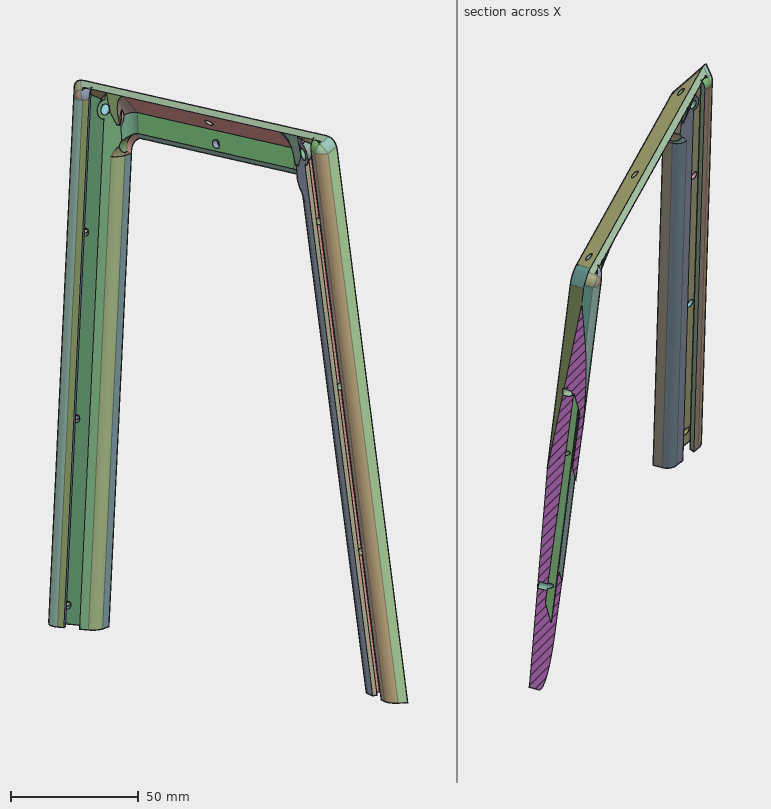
import cadquery as cq
import math

WIDTH = 181.49
DEPTH = 27.3
HEIGHT = 229.07
LEG_LEAN_X = 0.108
LEG_LEAN_Y = 0.0624

SLANT_ANGLE = 40.0
LIP_ANGLE = 20.0
RIDGE_Y = 5.0
RIM_TO_FRONT = 7.4
LEG_INNER_X = 67.3
EDGE_RADIUS = 5.0
SHOULDER_RADIUS = 9.5

SLOT_START = 6.2
SLOT_WIDTH = 6.5
LIP_THICKNESS = 2.0
CAVITY_OVERHANG = 3.5
CAVITY_DEPTH = 5.2

FLANGE_ANGLE = 45.0
BAR_THICKNESS = 3.0
BAR_BOTTOM_Z = 92.3
BAR_END_X = 52.0
RIM_END_X = 56.0

CORNER_RADIUS = 7.0
BLEND_RADIUS = 5.0
BLEND_END_X = 39.4
BRACE_ANGLE = 15.0
BRACE_LENGTH = 14.0

HOLE_DIAMETER = 3.5
FLANGE_HOLE_DEPTH = 14.0
BOSS_DIAMETER = 6.4
CORNER_HOLE_X = 50.0
FLANGE_HOLE_Z = 110.0
WALL_HOLE_Z = 98.3
BACK_HOLE_HEIGHTS = (57.0, 124.0, 191.0)
BACK_HOLE_FOOT_X = 73.5
SLANT_HOLE_HEIGHTS = (8.0, 86.7, 165.4)
SLANT_HOLE_FOOT_Y = 9.2
LEG_HOLE_DEPTH = 7.0

BOTTOM_Z = -HEIGHT / 2
TOP_Z = HEIGHT / 2
BACK_Y = DEPTH / 2
EDGE_TOLERANCE = 0.05
FAR = 400.0


def polar(angle):
    turn = math.radians(angle)
    return math.cos(turn), math.sin(turn)


def along(point, direction, distance):
    return point[0] + direction[0] * distance, point[1] + direction[1] * distance


def leg_shift(height):
    """Sideways travel of the leg section at a height above the foot."""
    return -LEG_LEAN_X * height, -LEG_LEAN_Y * height


def back_y(z):
    return BACK_Y - LEG_LEAN_Y * (z - BOTTOM_Z)


RIDGE = (WIDTH / 2, RIDGE_Y)
SLANT_DIRECTION = polar(180 - SLANT_ANGLE)
SLANT_INWARD = polar(270 - SLANT_ANGLE)
LIP_DIRECTION = polar(180 - LIP_ANGLE)
LIP_INWARD = polar(90 - LIP_ANGLE)
FRONT_CORNER = along(RIDGE, SLANT_INWARD, RIM_TO_FRONT)
BACK_CORNER = along(RIDGE, SLANT_DIRECTION, (BACK_Y - RIDGE_Y) / SLANT_DIRECTION[1])
INNER_FRONT = along(FRONT_CORNER, LIP_DIRECTION, (LEG_INNER_X - FRONT_CORNER[0]) / LIP_DIRECTION[0])

ROUND_SETBACK = EDGE_RADIUS * math.tan(math.radians(90 - LIP_ANGLE) / 2)
INNER_ROUND_Y = INNER_FRONT[1] + ROUND_SETBACK
INNER_ROUND_CENTER = (LEG_INNER_X + EDGE_RADIUS, INNER_ROUND_Y)
INNER_ROUND_MIDDLE = along(INNER_ROUND_CENTER, polar(180 + (90 - LIP_ANGLE) / 2), EDGE_RADIUS)
INNER_ROUND_END = along(INNER_ROUND_CENTER, LIP_INWARD, -EDGE_RADIUS)

FLANGE_DOWN = polar(-FLANGE_ANGLE)
FLANGE_INWARD = polar(180 + FLANGE_ANGLE)
BAR_RIDGE_Y = RIDGE_Y - LEG_LEAN_Y * HEIGHT
BAR_RIDGE = (BAR_RIDGE_Y, TOP_Z)
FLANGE_NORMAL = (0, *FLANGE_INWARD)
FLANGE_LENGTH = (back_y(TOP_Z) - BAR_RIDGE_Y) / (FLANGE_DOWN[0] + LEG_LEAN_Y * FLANGE_DOWN[1])
BAR_BACK = along(BAR_RIDGE, FLANGE_DOWN, FLANGE_LENGTH)
BAR_RIM = along(BAR_RIDGE, FLANGE_INWARD, BAR_THICKNESS)
WALL_FRONT_GAP = BAR_THICKNESS * math.hypot(1, LEG_LEAN_Y)
INNER_LENGTH = (back_y(BAR_RIM[1]) - WALL_FRONT_GAP - BAR_RIM[0]) / (
    FLANGE_DOWN[0] + LEG_LEAN_Y * FLANGE_DOWN[1]
)
BAR_INSIDE = along(BAR_RIM, FLANGE_DOWN, INNER_LENGTH)
WALL_FRONT_Z = BAR_BOTTOM_Z + BAR_THICKNESS

CORNER_CENTER_Z = BAR_BOTTOM_Z - CORNER_RADIUS
CORNER_CENTER_X = LEG_INNER_X - LEG_LEAN_X * (CORNER_CENTER_Z - BOTTOM_Z) - CORNER_RADIUS
BRACE_END_X = CORNER_HOLE_X - HOLE_DIAMETER / 2


def wall_front_y(z):
    return back_y(z) - WALL_FRONT_GAP


def leaning_sweep(outline, rise):
    """Sweeps a level outline along the lean of the right leg."""
    face = cq.Face.makeFromWires(outline)
    return cq.Workplane(cq.Solid.extrudeLinear(face, cq.Vector(*leg_shift(rise), rise)))


def leaning_prism(points):
    """The leaning sweep of a straight-sided section at the foot, past the top of the leg."""
    outline = cq.Wire.makePolygon([cq.Vector(x, y, BOTTOM_Z) for x, y in points], close=True)
    return leaning_sweep(outline, HEIGHT + DEPTH)


def side_prism(points, start_x, end_x):
    """An outline in (y, z) extruded along X."""
    return cq.Workplane("YZ", origin=(start_x, 0, 0)).polyline(points).close().extrude(end_x - start_x)


def cylinder(start, direction, length, diameter):
    return cq.Workplane(
        cq.Solid.makeCylinder(diameter / 2, length, cq.Vector(*start), cq.Vector(*direction))
    )


def crossbar():
    outline = [
        BAR_RIDGE,
        BAR_BACK,
        (back_y(BAR_BOTTOM_Z), BAR_BOTTOM_Z),
        (wall_front_y(WALL_FRONT_Z), WALL_FRONT_Z),
        BAR_INSIDE,
        BAR_RIM,
    ]
    return side_prism(outline, -BAR_END_X, BAR_END_X)


def flange_rim():
    """Front strip of the flange, longer than the rest so that it closes the tops of the slots."""
    outline = [
        BAR_RIDGE,
        along(BAR_RIDGE, FLANGE_DOWN, BAR_THICKNESS),
        along(BAR_RIM, FLANGE_DOWN, BAR_THICKNESS),
        BAR_RIM,
    ]
    return side_prism(outline, -RIM_END_X, RIM_END_X)


def below_flange():
    """Everything under the flange plane and behind its rim plane."""
    outline = [BAR_RIDGE, along(BAR_RIDGE, FLANGE_DOWN, FAR), along(BAR_RIDGE, FLANGE_INWARD, FAR)]
    return side_prism(outline, -FAR, FAR)


def below_flange_inside():
    """Everything under the inner face of the flange."""
    outline = [
        along(BAR_RIM, FLANGE_DOWN, -FAR),
        along(BAR_RIM, FLANGE_DOWN, FAR),
        along(BAR_RIM, FLANGE_INWARD, FAR),
    ]
    return side_prism(outline, -FAR, FAR)


def leg_point(point, z):
    """Place at height z of a point of the leg section at the foot."""
    shift_x, shift_y = leg_shift(z - BOTTOM_Z)
    return cq.Vector(point[0] + shift_x, point[1] + shift_y, z)


def round_edges(body, points, radius):
    """Fillets the edges that pass through the given points."""
    solid = body.val()
    marks = [cq.Vertex.makeVertex(*point.toTuple()) for point in points]
    chosen = [
        edge for edge in solid.Edges() if any(edge.distance(mark) < EDGE_TOLERANCE for mark in marks)
    ]
    return cq.Workplane(solid.fillet(radius, chosen))


def on_flange(point):
    """Where the lean line through a point of the foot section meets the flange plane."""
    drop = math.tan(math.radians(FLANGE_ANGLE))
    start = leg_point(point, BOTTOM_Z)
    reach = TOP_Z - drop * (start.y - BAR_RIDGE_Y) - BOTTOM_Z
    return leg_point(point, BOTTOM_Z + reach / (1 - drop * LEG_LEAN_Y))


def on_rim(point):
    """Where the lean line through a point of the foot section meets the rim plane."""
    rise = 1 / math.tan(math.radians(FLANGE_ANGLE))
    start = leg_point(point, BOTTOM_Z)
    reach = TOP_Z + rise * (start.y - BAR_RIDGE_Y) - BOTTOM_Z
    return leg_point(point, BOTTOM_Z + reach / (1 + rise * LEG_LEAN_Y))


def midpoint(first, second):
    return (first + second) * 0.5


def leg_body():
    leg = leaning_prism([RIDGE, BACK_CORNER, (LEG_INNER_X, BACK_Y), INNER_FRONT, FRONT_CORNER])
    leg = leg.intersect(below_flange())
    top_ridge = leg_point(RIDGE, TOP_Z)
    top_front = on_rim(FRONT_CORNER)
    leg = round_edges(leg, [midpoint(top_ridge, on_flange(BACK_CORNER))], SHOULDER_RADIUS)
    front_edges = [
        midpoint(top_ridge, top_front),
        leg_point(FRONT_CORNER, 0),
        midpoint(top_front, on_rim(INNER_FRONT)),
    ]
    return round_edges(leg, front_edges, EDGE_RADIUS)


def inner_edge_waste():
    """What the round along the inner front edge takes off, up to the corner."""
    outline = (
        cq.Workplane("XY", origin=(0, 0, BOTTOM_Z))
        .moveTo(LEG_INNER_X, INNER_ROUND_Y)
        .threePointArc(INNER_ROUND_MIDDLE, INNER_ROUND_END)
        .lineTo(*along(INNER_ROUND_END, LIP_INWARD, -EDGE_RADIUS))
        .lineTo(LEG_INNER_X - EDGE_RADIUS, INNER_ROUND_Y)
        .close()
        .wires()
        .val()
    )
    return leaning_sweep(outline, CORNER_CENTER_Z - BOTTOM_Z)


def leg_slot():
    """T-slot along the leg, ending under the flange."""

    def place(distance, depth):
        return along(along(FRONT_CORNER, LIP_DIRECTION, distance), LIP_INWARD, depth)

    slot_end = SLOT_START + SLOT_WIDTH
    cavity_start = SLOT_START - CAVITY_OVERHANG
    cavity_end = slot_end + CAVITY_OVERHANG
    slot = leaning_prism(
        [
            place(SLOT_START, -DEPTH),
            place(SLOT_START, LIP_THICKNESS),
            place(cavity_start, LIP_THICKNESS),
            place(cavity_start, CAVITY_DEPTH),
            place(cavity_end, CAVITY_DEPTH),
            place(cavity_end, LIP_THICKNESS),
            place(slot_end, LIP_THICKNESS),
            place(slot_end, -DEPTH),
        ]
    )
    return slot.intersect(below_flange_inside())


def behind_lips():
    """Everything behind the slotted front of the right leg."""
    return leaning_prism(
        [
            along(FRONT_CORNER, LIP_DIRECTION, -FAR),
            along(FRONT_CORNER, LIP_DIRECTION, FAR),
            along(FRONT_CORNER, LIP_INWARD, FAR),
        ]
    )


def bar_hollow():
    """Space under the flange and in front of the wall, with rounded ends."""
    outline = [
        BAR_INSIDE,
        (wall_front_y(0), 0),
        (wall_front_y(0) - HEIGHT, 0),
        along(BAR_INSIDE, FLANGE_DOWN, -HEIGHT),
    ]
    end_x = BLEND_END_X + BLEND_RADIUS
    wall_mark = cq.Vector(end_x, wall_front_y(BAR_BOTTOM_Z), BAR_BOTTOM_Z)
    flange_mark = cq.Vector(end_x, *BAR_RIM)
    hollow = side_prism(outline, 0, end_x)
    return round_edges(hollow, [wall_mark, flange_mark], BLEND_RADIUS)


def corner_fill():
    """Fills the corner between leg and crossbar up to the rounded end of the bar's hollow."""
    wall = [
        BAR_BACK,
        (back_y(CORNER_CENTER_Z), CORNER_CENTER_Z),
        (back_y(CORNER_CENTER_Z) - DEPTH, CORNER_CENTER_Z),
        (back_y(CORNER_CENTER_Z) - DEPTH, TOP_Z),
        BAR_RIDGE,
    ]
    fill = side_prism(wall, BLEND_END_X, BAR_END_X).intersect(behind_lips())
    brace_foot = along(BAR_RIM, polar(BRACE_ANGLE - 90), BRACE_LENGTH)
    brace = side_prism([BAR_RIM, brace_foot, BAR_INSIDE], BLEND_END_X, BRACE_END_X)
    return fill.intersect(below_flange()).union(brace).cut(bar_hollow())


def corner_relief():
    """Inner corner: the rounded leg edge turned about the corner, and the bar's slanted lower edge."""
    back = back_y(CORNER_CENTER_Z)

    def turned_point(point):
        return CORNER_RADIUS + point[0] - LEG_INNER_X, point[1] - BACK_Y

    end_radius, end_y = turned_point(INNER_ROUND_END)
    profile = (
        cq.Workplane("XY")
        .moveTo(0, BAR_THICKNESS)
        .lineTo(CORNER_RADIUS, BAR_THICKNESS)
        .lineTo(*turned_point((LEG_INNER_X, INNER_ROUND_Y)))
        .threePointArc(turned_point(INNER_ROUND_MIDDLE), (end_radius, end_y))
        .lineTo(end_radius, -DEPTH)
        .lineTo(0, -DEPTH)
        .close()
    )
    quarter = cq.Workplane("XY").box(FAR, FAR, FAR, centered=(False, True, False))
    tilt = math.degrees(math.atan(LEG_LEAN_Y))
    turned = profile.revolve(360, (0, 0, 0), (0, 1, 0)).intersect(quarter)
    turned = turned.rotate((0, 0, 0), (1, 0, 0), tilt)

    disk = cq.Wire.makeCircle(CORNER_RADIUS, cq.Vector(0, 0, 0), cq.Vector(0, -1, 0))
    slant = cq.Vector(0, -BAR_THICKNESS, BAR_THICKNESS)
    slanted = cq.Workplane(cq.Solid.extrudeLinear(cq.Face.makeFromWires(disk), slant)).intersect(quarter)
    ahead = cylinder(slant.toTuple(), (0, -1, 0), DEPTH, 2 * CORNER_RADIUS).intersect(quarter)
    return turned.union(slanted).union(ahead).translate((CORNER_CENTER_X, back, CORNER_CENTER_Z))


def flange_point(x):
    """Center of a screw hole on the outer face of the flange."""
    y = BAR_RIDGE_Y + (TOP_Z - FLANGE_HOLE_Z) / math.tan(math.radians(FLANGE_ANGLE))
    return x, y, FLANGE_HOLE_Z


def flange_hole(x):
    return cylinder(flange_point(x), FLANGE_NORMAL, FLANGE_HOLE_DEPTH, HOLE_DIAMETER)


def screw_boss():
    """Carries the corner screw from the flange out to the front of the lips."""
    boss = cylinder(flange_point(CORNER_HOLE_X), FLANGE_NORMAL, FLANGE_HOLE_DEPTH, BOSS_DIAMETER)
    return boss.intersect(behind_lips())


def leg_holes():
    holes = cq.Workplane()
    for height in BACK_HOLE_HEIGHTS:
        place = leg_point((BACK_HOLE_FOOT_X, BACK_Y), BOTTOM_Z + height)
        holes = holes.add(cylinder(place.toTuple(), (0, -1, 0), LEG_HOLE_DEPTH, HOLE_DIAMETER))
    slant_distance = (SLANT_HOLE_FOOT_Y - RIDGE_Y) / SLANT_DIRECTION[1]
    for height in SLANT_HOLE_HEIGHTS:
        place = leg_point(along(RIDGE, SLANT_DIRECTION, slant_distance), BOTTOM_Z + height)
        holes = holes.add(cylinder(place.toTuple(), (*SLANT_INWARD, 0), LEG_HOLE_DEPTH, HOLE_DIAMETER))
    return holes.vals()


def half_leg():
    leg = leg_body().cut(inner_edge_waste()).union(corner_fill()).cut(corner_relief())
    leg = leg.cut(leg_slot()).union(screw_boss())
    for hole in leg_holes():
        leg = leg.cut(cq.Workplane(hole))
    return leg


def frame():
    bar = crossbar().union(flange_rim())
    leg = half_leg()
    body = bar.union(leg).union(leg.mirror("YZ"))
    for x in (-CORNER_HOLE_X, 0, CORNER_HOLE_X):
        body = body.cut(flange_hole(x))
    wall_start = (0, back_y(WALL_HOLE_Z), WALL_HOLE_Z)
    return body.cut(cylinder(wall_start, (0, -1, 0), 2 * BAR_THICKNESS, HOLE_DIAMETER))


result = frame()